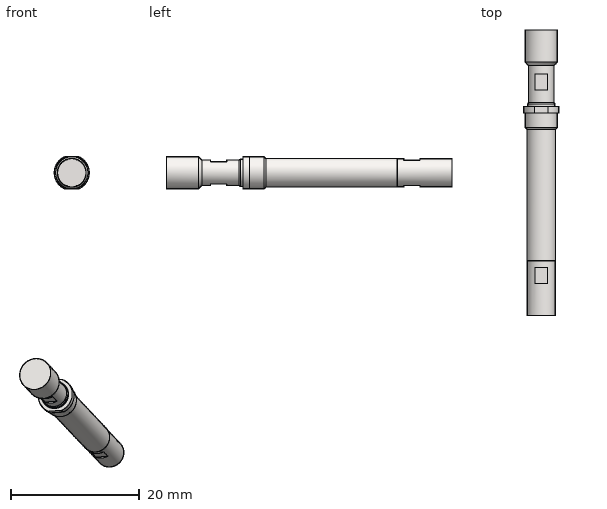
import cadquery as cq

LENGTH = 44.4

HEAD_DIAMETER = 5.0
NECK_DIAMETER = 4.0
SHOULDER_DIAMETER = 4.25
COLLAR_DIAMETER = 5.45
BARREL_DIAMETER = 4.5
TAIL_DIAMETER = 4.4

HEAD_LENGTH = 5.0
COLLAR_LENGTH = 1.0
RING_LENGTH = 2.25
SHOULDER_LENGTH = 0.4
NECK_TO_COLLAR = 0.6
TAIL_LENGTH = 8.5
TAIL_CONE_LENGTH = 0.1

COLLAR_TOP = 32.5

FLAT_LENGTH = 2.5
NECK_FLAT_CENTER = 36.27
NECK_ACROSS_FLATS = 3.5
TAIL_FLAT_CENTER = 6.25
TAIL_ACROSS_FLATS = 3.95

head_radius = HEAD_DIAMETER / 2
neck_radius = NECK_DIAMETER / 2
shoulder_radius = SHOULDER_DIAMETER / 2
collar_radius = COLLAR_DIAMETER / 2
barrel_radius = BARREL_DIAMETER / 2
tail_radius = TAIL_DIAMETER / 2

head_bottom = LENGTH - HEAD_LENGTH
neck_top = head_bottom - (head_radius - neck_radius)
neck_bottom = COLLAR_TOP + NECK_TO_COLLAR
collar_bottom = COLLAR_TOP - COLLAR_LENGTH
collar_center = (COLLAR_TOP + collar_bottom) / 2
ring_bottom = collar_bottom - RING_LENGTH
barrel_top = ring_bottom - (head_radius - barrel_radius)
barrel_bottom = TAIL_LENGTH + TAIL_CONE_LENGTH


def turned_body():
    """Half section (radius, Y) revolved about the Y axis."""
    outline = [
        (0, 0),
        (tail_radius, 0),
        (tail_radius, TAIL_LENGTH),
        (barrel_radius, barrel_bottom),
        (barrel_radius, barrel_top),
        (head_radius, ring_bottom),
        (head_radius, collar_bottom),
        (collar_radius, collar_bottom),
        (collar_radius, COLLAR_TOP),
        (shoulder_radius, COLLAR_TOP),
        (shoulder_radius, COLLAR_TOP + SHOULDER_LENGTH),
        (neck_radius, neck_bottom),
        (neck_radius, neck_top),
        (head_radius, head_bottom),
        (head_radius, LENGTH),
        (0, LENGTH),
    ]
    return cq.Workplane("XY").polyline(outline).close().revolve(360, (0, 0, 0), (0, 1, 0))


def flat_pair(center_y, length, across_flats):
    """Cutter that leaves two opposite flats, facing +Z and -Z."""
    surrounding = cq.Workplane("XY").box(COLLAR_DIAMETER, length, COLLAR_DIAMETER)
    kept = cq.Workplane("XY").box(COLLAR_DIAMETER, length, across_flats)
    return surrounding.cut(kept).translate((0, center_y, 0))


result = turned_body()
result = result.cut(flat_pair(NECK_FLAT_CENTER, FLAT_LENGTH, NECK_ACROSS_FLATS))
result = result.cut(flat_pair(TAIL_FLAT_CENTER, FLAT_LENGTH, TAIL_ACROSS_FLATS))
result = result.cut(flat_pair(collar_center, COLLAR_LENGTH, HEAD_DIAMETER))